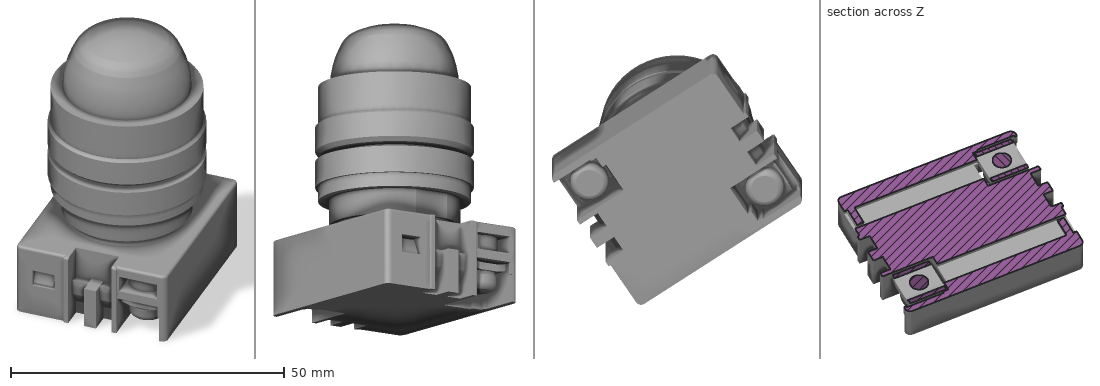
import cadquery as cq
import math

HOUSING_WIDTH = 29.6
HOUSING_DEPTH = 36.15
HOUSING_HEIGHT = 14.05
CORNER_RADIUS = 1.05
TOP_EDGE_RADIUS = 0.55
BOSS_HEIGHT = 0.5

RIB_DEPTH = 37.0
RIB_OUTER_HALF = 5.25
RIB_CORNER_RADIUS = 0.15
SLOT_HALF_WIDTH = 4.25
SLOT_WALL_Y = 14.6
TAB_HALF_WIDTH = 1.15
TAB_FACE_Y = 18.35
LEDGE_TOP_Z = 8.05
LEDGE_FACE_Y = 16.45
LEDGE_INNER_TOP_Z = 7.65
LEDGE_FACE_BOTTOM_Z = 7.0
LEDGE_TAPER_BOTTOM_Z = 4.95
LEDGE_TAPER_INSET = 0.25
LEDGE_BOTTOM_Z = 2.5

BAY_LEFT_X = 5.2
BAY_RIGHT_X = 13.45
BAY_NARROW_RIGHT_X = 13.15
BAY_LIP_BOTTOM_Z = 5.05
BAY_LIP_THICKNESS = 0.55
BAY_SHOULDER_Y = -10.05
BAY_ROOF_Z = 7.3
BAY_END_Y = -9.0
BAY_NICHE_RIGHT_X = 11.1
BAY_NICHE_DEPTH = 0.8

OPENING_WIDTH = 7.45
OPENING_BOTTOM_Z = 8.95
OPENING_TOP_Z = 12.1
PILLAR_RADIUS = 3.6

WINDOW_LEFT_X = -11.4
WINDOW_RIGHT_X = -7.05
WINDOW_BOTTOM_Z = 6.25
WINDOW_TOP_Z = 9.5
TOOTH_RIGHT_X = -7.5
TOOTH_SETBACK = 0.55
TOOTH_LAND_HEIGHT = 0.35
TOOTH_TOP_Z = 9.15
TOOTH_RAMP_DEPTH = 1.15
TOOTH_THICKNESS = 1.6

SCREW_X = 9.35
SCREW_Y = -13.05
SHANK_RADIUS = 1.75
HEAD_RADIUS = 3.5
HEAD_END_RADIUS = 2.5
HEAD_BOTTOM_Z = 2.2
HEAD_ROUND_Z = 3.55
HEAD_TOP_Z = 4.8
WASHER_RADIUS = 3.3
WASHER_TOP_Z = 5.5
CLAMP_HALF_LENGTH = 3.7
CLAMP_FLAT_HALF = 1.95
CLAMP_THICKNESS = 1.3
CLAMP_WING_RISE = 0.35
CLAMP_HALF_DEPTH = 3.8
CLAMP_WING_TAPER = 0.2

COLLAR_BOTTOM_Z = 15.4
STEP_BOTTOM_Z = 20.1
RING_BOTTOM_Z = 22.65
RING_TOP_Z = 27.5
BEZEL_BOTTOM_Z = 28.5
BEZEL_SHOULDER_Z = 34.45
BEZEL_TOP_Z = 41.5
DOME_SIDE_TOP_Z = 49.4
DOME_CAP_Z = 51.4
TOTAL_HEIGHT = 53.0

NECK_RADIUS = 11.1
COLLAR_RADIUS = 12.05
COLLAR_FLAT_Y = 11.5
RING_RADIUS = 14.5
BEZEL_RADIUS = 14.0
BEZEL_LOWER_CHAMFER = 0.8
DOME_BASE_RADIUS = 11.8
DOME_SIDE_TOP_RADIUS = 9.8
DOME_CAP_RADIUS = 7.65

BOSS_TOP_Z = HOUSING_HEIGHT + BOSS_HEIGHT
FRONT_Y = -HOUSING_DEPTH / 2
HALF_TURN_ANGLES = (0, 180)


def box_between(x0, x1, y0, y1, z0, z1):
    """Box given by its limits along each axis."""
    return cq.Workplane("XY").box(x1 - x0, y1 - y0, z1 - z0, centered=False).translate((x0, y0, z0))


def prism_along_x(points_yz, x0, x1):
    """Prism along X from an outline in the YZ plane."""
    return cq.Workplane("YZ").workplane(offset=x0).polyline(points_yz).close().extrude(x1 - x0)


def half_turned(shape, angle):
    """Shape turned about the vertical centre axis."""
    return shape.rotate((0, 0, 0), (0, 0, 1), angle)


def make_outer_block():
    """Rounded block with the two full-depth bands that end in the barrier ribs."""
    block = (
        cq.Workplane("XY")
        .box(HOUSING_WIDTH, HOUSING_DEPTH, HOUSING_HEIGHT, centered=(True, True, False))
        .edges("|Z").fillet(CORNER_RADIUS)
        .faces(">Z").edges().fillet(TOP_EDGE_RADIUS)
    )
    rib_band = (
        cq.Workplane("XY")
        .box(2 * RIB_OUTER_HALF, RIB_DEPTH, HOUSING_HEIGHT, centered=(True, True, False))
        .edges("|Z").fillet(RIB_CORNER_RADIUS)
        .faces(">Z").edges("<Y or >Y").fillet(TOP_EDGE_RADIUS)
    )
    return block.union(rib_band)


def make_boss():
    """Low round seat for the operator, with a concave flare down to the housing top."""
    flare_offset = BOSS_HEIGHT * (1 - math.sqrt(0.5))
    return (
        cq.Workplane("XZ")
        .moveTo(0, HOUSING_HEIGHT - BOSS_HEIGHT)
        .lineTo(0, BOSS_TOP_Z)
        .lineTo(NECK_RADIUS, BOSS_TOP_Z)
        .threePointArc(
            (NECK_RADIUS + flare_offset, HOUSING_HEIGHT + flare_offset),
            (NECK_RADIUS + BOSS_HEIGHT, HOUSING_HEIGHT),
        )
        .lineTo(NECK_RADIUS + BOSS_HEIGHT, HOUSING_HEIGHT - BOSS_HEIGHT)
        .close()
        .revolve(360, (0, 0, 0), (0, 1, 0))
    )


def make_slot():
    """Full-height slot between the front barrier ribs."""
    return box_between(
        -SLOT_HALF_WIDTH, SLOT_HALF_WIDTH, -RIB_DEPTH / 2, -SLOT_WALL_Y, 0, HOUSING_HEIGHT
    )


def make_slot_fill():
    """Ledge across the slot with an undercut lower side, and the central tab."""
    ledge = prism_along_x(
        [
            (-SLOT_WALL_Y, LEDGE_INNER_TOP_Z),
            (-LEDGE_FACE_Y, LEDGE_TOP_Z),
            (-LEDGE_FACE_Y, LEDGE_FACE_BOTTOM_Z),
            (-LEDGE_FACE_Y + LEDGE_TAPER_INSET, LEDGE_TAPER_BOTTOM_Z),
            (-SLOT_WALL_Y, LEDGE_BOTTOM_Z),
        ],
        -SLOT_HALF_WIDTH,
        SLOT_HALF_WIDTH,
    )
    tab = box_between(-TAB_HALF_WIDTH, TAB_HALF_WIDTH, -TAB_FACE_Y, -SLOT_WALL_Y, 0, LEDGE_TOP_Z)
    return ledge.union(tab)


def make_terminal_bay():
    """Space for the screw, stepped narrower at its end, with a lip on its outer wall."""
    outer_bay = box_between(BAY_LEFT_X, BAY_RIGHT_X, FRONT_Y, BAY_SHOULDER_Y, 0, BAY_ROOF_Z)
    inner_bay = box_between(BAY_LEFT_X, BAY_NARROW_RIGHT_X, BAY_SHOULDER_Y, BAY_END_Y, 0, BAY_ROOF_Z)
    niche = box_between(
        BAY_LEFT_X, BAY_NICHE_RIGHT_X, BAY_END_Y, BAY_END_Y + BAY_NICHE_DEPTH, 0, BAY_ROOF_Z
    )
    lip = box_between(
        BAY_NARROW_RIGHT_X, BAY_RIGHT_X, FRONT_Y, FRONT_Y + BAY_LIP_THICKNESS, BAY_LIP_BOTTOM_Z, BAY_ROOF_Z
    )
    return outer_bay.union(inner_bay).union(niche).cut(lip)


def make_terminal_opening():
    """Opening above the terminal bay, leaving a round pillar standing in it."""
    opening = box_between(
        SCREW_X - OPENING_WIDTH / 2, SCREW_X + OPENING_WIDTH / 2,
        FRONT_Y, BAY_END_Y, OPENING_BOTTOM_Z, OPENING_TOP_Z,
    )
    pillar = (
        cq.Workplane("XY", origin=(SCREW_X, SCREW_Y, OPENING_BOTTOM_Z))
        .circle(PILLAR_RADIUS).extrude(OPENING_TOP_Z - OPENING_BOTTOM_Z)
    )
    return opening.cut(pillar)


def make_latch_window():
    """Passage from the latch window to the terminal bay on the opposite face, less its tooth."""
    passage = box_between(
        WINDOW_LEFT_X, WINDOW_RIGHT_X, FRONT_Y, -BAY_END_Y, WINDOW_BOTTOM_Z, WINDOW_TOP_Z
    )
    land_y = FRONT_Y + TOOTH_SETBACK
    tooth_back_y = land_y + TOOTH_THICKNESS
    tooth = prism_along_x(
        [
            (land_y, WINDOW_BOTTOM_Z),
            (land_y, WINDOW_BOTTOM_Z + TOOTH_LAND_HEIGHT),
            (land_y + TOOTH_RAMP_DEPTH, TOOTH_TOP_Z),
            (tooth_back_y, TOOTH_TOP_Z),
            (tooth_back_y, WINDOW_BOTTOM_Z),
        ],
        WINDOW_LEFT_X,
        TOOTH_RIGHT_X,
    )
    return passage.cut(tooth)


def make_screw_hole():
    """Hole in the plate over the terminal bay for the screw shank."""
    return (
        cq.Workplane("XY", origin=(SCREW_X, SCREW_Y, BAY_ROOF_Z))
        .circle(SHANK_RADIUS).extrude(OPENING_BOTTOM_Z - BAY_ROOF_Z)
    )


def make_housing():
    """Terminal housing; its front and back features match under a half turn."""
    housing = make_outer_block().union(make_boss())
    cutters = (
        make_slot(), make_terminal_bay(), make_terminal_opening(), make_latch_window(), make_screw_hole()
    )
    slot_fill = make_slot_fill()
    for angle in HALF_TURN_ANGLES:
        for cutter in cutters:
            housing = housing.cut(half_turned(cutter, angle))
        housing = housing.union(half_turned(slot_fill, angle))
    return housing


def make_screw(angle):
    """Terminal screw, head down, with its washer and a clamp plate with raised, tapered wings."""
    stem = (
        cq.Workplane("XZ")
        .moveTo(0, HEAD_BOTTOM_Z)
        .lineTo(0, OPENING_BOTTOM_Z)
        .lineTo(SHANK_RADIUS, OPENING_BOTTOM_Z)
        .lineTo(SHANK_RADIUS, WASHER_TOP_Z)
        .lineTo(WASHER_RADIUS, WASHER_TOP_Z)
        .lineTo(WASHER_RADIUS, HEAD_TOP_Z)
        .lineTo(HEAD_RADIUS, HEAD_TOP_Z)
        .lineTo(HEAD_RADIUS, HEAD_ROUND_Z)
        .tangentArcPoint((HEAD_END_RADIUS, HEAD_BOTTOM_Z), relative=False)
        .close()
        .revolve(360, (0, 0, 0), (0, 1, 0))
    )
    wing_z = WASHER_TOP_Z + CLAMP_WING_RISE
    clamp = (
        cq.Workplane("XZ")
        .polyline(
            [
                (-CLAMP_FLAT_HALF, WASHER_TOP_Z),
                (CLAMP_FLAT_HALF, WASHER_TOP_Z),
                (CLAMP_HALF_LENGTH, wing_z),
                (CLAMP_HALF_LENGTH, wing_z + CLAMP_THICKNESS),
                (CLAMP_FLAT_HALF, WASHER_TOP_Z + CLAMP_THICKNESS),
                (-CLAMP_FLAT_HALF, WASHER_TOP_Z + CLAMP_THICKNESS),
                (-CLAMP_HALF_LENGTH, wing_z + CLAMP_THICKNESS),
                (-CLAMP_HALF_LENGTH, wing_z),
            ]
        )
        .close()
        .extrude(CLAMP_HALF_DEPTH, both=True)
    )
    wing_front_y = -CLAMP_HALF_DEPTH + CLAMP_WING_TAPER
    clamp_outline = (
        cq.Workplane("XY")
        .polyline(
            [
                (-CLAMP_HALF_LENGTH, wing_front_y),
                (-CLAMP_FLAT_HALF, -CLAMP_HALF_DEPTH),
                (CLAMP_FLAT_HALF, -CLAMP_HALF_DEPTH),
                (CLAMP_HALF_LENGTH, wing_front_y),
                (CLAMP_HALF_LENGTH, CLAMP_HALF_DEPTH),
                (-CLAMP_HALF_LENGTH, CLAMP_HALF_DEPTH),
            ]
        )
        .close()
        .extrude(BAY_ROOF_Z)
    )
    clamp = clamp.intersect(clamp_outline)
    return half_turned(stem.union(clamp).translate((SCREW_X, SCREW_Y, 0)), angle)


def dome_side_radius_at(z):
    """Radius of the dome side, an arc that leaves the bezel vertically."""
    inset = DOME_BASE_RADIUS - DOME_SIDE_TOP_RADIUS
    rise = DOME_SIDE_TOP_Z - BEZEL_TOP_Z
    arc_radius = (inset**2 + rise**2) / (2 * inset)
    return DOME_BASE_RADIUS - arc_radius + math.sqrt(arc_radius**2 - (z - BEZEL_TOP_Z) ** 2)


def make_operator():
    """Round operator: neck, keyed collar, stepped ring, bezel and domed lens."""
    upper_chamfer = RING_RADIUS - BEZEL_RADIUS
    cap_height = TOTAL_HEIGHT - DOME_CAP_Z
    cap_sphere_radius = (DOME_CAP_RADIUS**2 + cap_height**2) / (2 * cap_height)
    side_mid_z = (BEZEL_TOP_Z + DOME_SIDE_TOP_Z) / 2
    operator = (
        cq.Workplane("XZ")
        .moveTo(0, BOSS_TOP_Z)
        .lineTo(NECK_RADIUS, BOSS_TOP_Z)
        .lineTo(NECK_RADIUS, COLLAR_BOTTOM_Z)
        .lineTo(COLLAR_RADIUS, COLLAR_BOTTOM_Z)
        .lineTo(COLLAR_RADIUS, STEP_BOTTOM_Z)
        .lineTo(BEZEL_RADIUS, STEP_BOTTOM_Z)
        .lineTo(BEZEL_RADIUS, RING_BOTTOM_Z)
        .lineTo(RING_RADIUS, RING_BOTTOM_Z)
        .lineTo(RING_RADIUS, RING_TOP_Z)
        .lineTo(NECK_RADIUS, RING_TOP_Z)
        .lineTo(NECK_RADIUS, BEZEL_BOTTOM_Z)
        .lineTo(RING_RADIUS - BEZEL_LOWER_CHAMFER, BEZEL_BOTTOM_Z)
        .lineTo(RING_RADIUS, BEZEL_BOTTOM_Z + BEZEL_LOWER_CHAMFER)
        .lineTo(RING_RADIUS, BEZEL_SHOULDER_Z - upper_chamfer)
        .lineTo(BEZEL_RADIUS, BEZEL_SHOULDER_Z)
        .lineTo(BEZEL_RADIUS, BEZEL_TOP_Z)
        .lineTo(DOME_BASE_RADIUS, BEZEL_TOP_Z)
        .threePointArc(
            (dome_side_radius_at(side_mid_z), side_mid_z), (DOME_SIDE_TOP_RADIUS, DOME_SIDE_TOP_Z)
        )
        .tangentArcPoint((DOME_CAP_RADIUS, DOME_CAP_Z), relative=False)
        .radiusArc((0, TOTAL_HEIGHT), -cap_sphere_radius)
        .close()
        .revolve(360, (0, 0, 0), (0, 1, 0))
    )
    key_flat = box_between(
        -COLLAR_RADIUS, COLLAR_RADIUS, COLLAR_FLAT_Y, COLLAR_RADIUS, COLLAR_BOTTOM_Z, STEP_BOTTOM_Z
    )
    return operator.cut(key_flat)


housing = make_housing()
screws = [make_screw(angle) for angle in HALF_TURN_ANGLES]
operator = make_operator()

result = cq.Compound.makeCompound(
    [housing.val(), *[screw.val() for screw in screws], operator.val()]
)